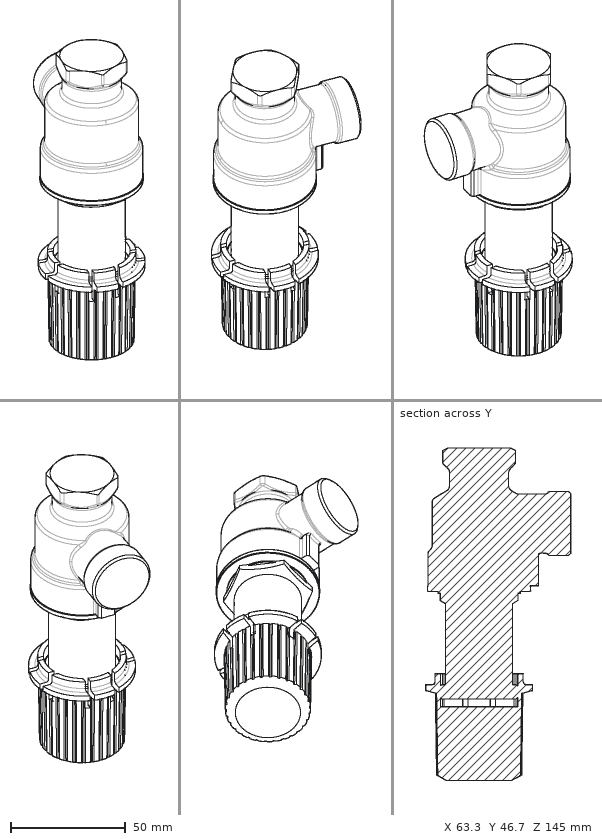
import cadquery as cq
import math


INLET_TOP = 33.0
HEX_HEIGHT = 9.7
NECK_BOTTOM = 15.1
HOUSING_TOP = 10.5
SHOULDER_TOP = -10.4
BASE_TOP = -12.4
RING_TOP = -27.1
HOUSING_BOTTOM = -29.6
WASHER_BOTTOM = -30.4
NUT_BOTTOM = -34.9
COLLAR_TOP = -65.3
FLANGE_TOP = -70.1
FLANGE_EDGE_BOTTOM = -72.8
FLANGE_BOTTOM = -74.0
STEM_BOTTOM = -76.5
SLOT_BOTTOM = -79.7
CAP_SIDE_BOTTOM = -109.5
CAP_BOTTOM = -112.0

HEX_FLATS = 27.8
HEX_CORNER_ROUND = 2.0
HEX_AXIS_CORNER_ROUND = 1.0
HEX_LOWER_ROUND = 1.5
HEX_TOP_DROP = 1.2
NECK_RADIUS = 13.0
NECK_FILLET = 2.0

BODY_RADIUS = 20.5
BASE_RADIUS = 22.4
RING_RADIUS = 22.6
RING_CHAMFER = 0.3
CONE_ROUND = 2.0
SHOULDER_ROUND = 2.0
BASE_ROUND = 2.5

OUTLET_FACE_X = -40.0
OUTLET_END_RADIUS = 14.0
OUTLET_END_LENGTH = 9.2
OUTLET_STEP_ANGLE = 60.0
OUTLET_CHAMFER = 1.0
OUTLET_RADIUS = 13.0
OUTLET_FILLET = 1.5

PAD_FACE_X = -25.9
PAD_WIDTH = 8.5
PAD_CHAMFER = 1.0
PAD_FILLET = 1.0

WASHER_RADIUS = 18.0
NUT_FLATS = 34.0
NUT_CHAMFER_ANGLE = 30.0
STEM_RADIUS = 14.7
STEM_RING_CHAMFER = 0.6

FLANGE_RADIUS = 23.34
COLLAR_RADIUS = 19.3
COLLAR_FILLET = 1.2
CAP_TOP_RADIUS = 19.1
CAP_LOW_RADIUS = 18.6
CAP_END_RADIUS = 14.2
CAP_BORE_RADIUS = 16.8
SLOT_WIDTH = 2.1
SLOT_OFFSET = 6.0
GROOVE_COUNT = 30
GROOVE_WIDTH = 1.7
GROOVE_FLOOR_WIDTH = 0.6
GROOVE_DEPTH = 0.5


def revolve_profile(points):
    """Turn a closed (radius, height) outline around the Z axis."""
    return cq.Workplane("XZ").polyline(points).close().revolve(360, (0, 0, 0), (0, 1, 0))


def cylinder(radius, bottom, top):
    return cq.Workplane("XY").workplane(offset=bottom).circle(radius).extrude(top - bottom)


def hexagon(flats, bottom, top, turn):
    """Hexagonal prism; with no turn its corners lie on the X axis."""
    across_corners = flats / math.cos(math.radians(30))
    prism = cq.Workplane("XY").workplane(offset=bottom).polygon(6, across_corners).extrude(top - bottom)
    return prism.rotate((0, 0, 0), (0, 0, 1), turn)


def round_rim(solid, radius, height, fillet):
    """Round the full circular edge of the given radius and height."""
    margin = 0.01
    reach = radius + margin
    box = cq.selectors.BoxSelector(
        (-reach, -reach, height - margin), (reach, reach, height + margin), boundingbox=True
    )
    rims = [edge for edge in solid.edges(box).vals() if abs(edge.radius() - radius) < margin]
    return solid.newObject(rims).fillet(fillet)


def inlet_hexagon():
    """Inlet hexagon, its flats rounded into a 45 degree cone that leads to the neck."""
    bottom = INLET_TOP - HEX_HEIGHT
    flat_radius = HEX_FLATS / 2
    corner_radius = flat_radius / math.cos(math.radians(30))
    cone_top = bottom + corner_radius - NECK_RADIUS
    envelope = revolve_profile([
        (0, bottom),
        (NECK_RADIUS, bottom),
        (corner_radius, cone_top),
        (corner_radius, INLET_TOP - HEX_TOP_DROP),
        (flat_radius, INLET_TOP),
        (0, INLET_TOP),
    ])
    prism = hexagon(HEX_FLATS, bottom, INLET_TOP, 0)
    prism = prism.edges("|Z").edges(">Y or <Y").fillet(HEX_CORNER_ROUND)
    prism = prism.edges("|Z").edges(">X or <X").fillet(HEX_AXIS_CORNER_ROUND)
    head = prism.intersect(envelope)
    margin = 0.1
    lower_rim = cq.selectors.BoxSelector(
        (-corner_radius, -corner_radius, bottom + margin),
        (corner_radius, corner_radius, cone_top + margin),
        boundingbox=True,
    )
    return head.edges(lower_rim).fillet(HEX_LOWER_ROUND)


def housing():
    flare_bottom = INLET_TOP - HEX_HEIGHT
    flare = HEX_FLATS / 2 - NECK_RADIUS
    body = revolve_profile([
        (0, RING_TOP),
        (BASE_RADIUS, RING_TOP),
        (BASE_RADIUS, BASE_TOP),
        (BODY_RADIUS, SHOULDER_TOP),
        (BODY_RADIUS, HOUSING_TOP),
        (NECK_RADIUS, NECK_BOTTOM),
        (NECK_RADIUS, flare_bottom),
        (NECK_RADIUS + flare, flare_bottom + flare),
        (0, flare_bottom + flare),
    ])
    body = round_rim(body, BASE_RADIUS, BASE_TOP, BASE_ROUND)
    body = round_rim(body, BODY_RADIUS, SHOULDER_TOP, SHOULDER_ROUND)
    body = round_rim(body, BODY_RADIUS, HOUSING_TOP, CONE_ROUND)
    body = round_rim(body, NECK_RADIUS, NECK_BOTTOM, NECK_FILLET)
    return round_rim(body, NECK_RADIUS, flare_bottom, NECK_FILLET)


def base_ring():
    return cylinder(RING_RADIUS, HOUSING_BOTTOM, RING_TOP).faces("<Z or >Z").chamfer(RING_CHAMFER)


def outlet_pipe():
    return cq.Workplane("YZ").circle(OUTLET_RADIUS).extrude(OUTLET_FACE_X)


def outlet_end():
    """Enlarged pipe end that runs down to the pipe through an S of two equal arcs."""
    step = OUTLET_END_RADIUS - OUTLET_RADIUS
    turn = math.radians(OUTLET_STEP_ANGLE)
    arc_radius = step / 2 / (1 - math.cos(turn))
    arc_length = arc_radius * math.sin(turn)
    mid_x = arc_radius * math.sin(turn / 2)
    mid_drop = arc_radius * (1 - math.cos(turn / 2))
    start_x = OUTLET_FACE_X + OUTLET_END_LENGTH
    end_x = start_x + 2 * arc_length
    profile = (
        cq.Workplane("XZ")
        .moveTo(OUTLET_FACE_X, 0)
        .lineTo(OUTLET_FACE_X, OUTLET_END_RADIUS - OUTLET_CHAMFER)
        .lineTo(OUTLET_FACE_X + OUTLET_CHAMFER, OUTLET_END_RADIUS)
        .lineTo(start_x, OUTLET_END_RADIUS)
        .threePointArc(
            (start_x + mid_x, OUTLET_END_RADIUS - mid_drop),
            (start_x + arc_length, OUTLET_END_RADIUS - step / 2),
        )
        .threePointArc((end_x - mid_x, OUTLET_RADIUS + mid_drop), (end_x, OUTLET_RADIUS))
        .lineTo(end_x, 0)
        .close()
    )
    return profile.revolve(360, (0, 0, 0), (1, 0, 0))


def outlet_pad():
    """Flat pad hanging from the outlet pipe, with its sides blended into the housing."""
    footprint = cq.Workplane("XY").workplane(offset=RING_TOP)
    pad = footprint.center(PAD_FACE_X / 2, 0).rect(-PAD_FACE_X, PAD_WIDTH).extrude(-RING_TOP)
    pad = pad.edges("|Z and <X").chamfer(PAD_CHAMFER)
    wall_top = BASE_TOP - BASE_ROUND * math.tan(math.radians(45) / 2)
    joined = pad.union(cylinder(BASE_RADIUS, RING_TOP, wall_top))
    corner_x = -math.sqrt(BASE_RADIUS**2 - (PAD_WIDTH / 2) ** 2)
    margin = 0.1
    corners = cq.selectors.BoxSelector(
        (corner_x - margin, -PAD_WIDTH, RING_TOP - margin),
        (corner_x + margin, PAD_WIDTH, wall_top + margin),
        boundingbox=True,
    )
    return joined.edges(corners).edges("|Z").fillet(PAD_FILLET)


def washer():
    return cylinder(WASHER_RADIUS, WASHER_BOTTOM, HOUSING_BOTTOM)


def lock_nut():
    corner_radius = NUT_FLATS / 2 / math.cos(math.radians(30))
    slope = math.tan(math.radians(NUT_CHAMFER_ANGLE))
    envelope = revolve_profile([
        (0, NUT_BOTTOM),
        (STEM_RADIUS, NUT_BOTTOM),
        (corner_radius, NUT_BOTTOM + (corner_radius - STEM_RADIUS) * slope),
        (corner_radius, HOUSING_BOTTOM),
        (0, HOUSING_BOTTOM),
    ])
    return hexagon(NUT_FLATS, NUT_BOTTOM, HOUSING_BOTTOM, 30).intersect(envelope)


def stem():
    """Plain stem whose lower end widens into a ring that fills the cap bore."""
    tube = cylinder(STEM_RADIUS, STEM_BOTTOM, HOUSING_BOTTOM)
    ring = cylinder(CAP_BORE_RADIUS, STEM_BOTTOM, FLANGE_TOP).faces("<Z or >Z").chamfer(STEM_RING_CHAMFER)
    return tube.union(ring)


def groove_section(crest_radius, height):
    """Wire across one groove, level with the point where the cap side has this radius."""
    floor_radius = crest_radius - GROOVE_DEPTH
    side_slope = (GROOVE_WIDTH - GROOVE_FLOOR_WIDTH) / 2 / GROOVE_DEPTH
    outer_radius = crest_radius + GROOVE_DEPTH
    half_floor = GROOVE_FLOOR_WIDTH / 2
    half_outer = half_floor + side_slope * (outer_radius - floor_radius)
    corners = [
        (floor_radius, -half_floor),
        (outer_radius, -half_outer),
        (outer_radius, half_outer),
        (floor_radius, half_floor),
    ]
    return cq.Wire.makePolygon([cq.Vector(x, y, height) for x, y in corners], close=True)


def cap_grooves():
    """Lengthwise grooves of trapezoid section that follow the taper of the cap."""
    taper = (CAP_TOP_RADIUS - CAP_LOW_RADIUS) / (FLANGE_BOTTOM - CAP_SIDE_BOTTOM)
    end_radius = CAP_LOW_RADIUS - taper * (CAP_SIDE_BOTTOM - CAP_BOTTOM)
    cutter = cq.Solid.makeLoft(
        [groove_section(CAP_TOP_RADIUS, FLANGE_BOTTOM), groove_section(end_radius, CAP_BOTTOM)],
        True,
    )
    pitch = 360 / GROOVE_COUNT
    grooves = cq.Workplane("XY")
    for index in range(GROOVE_COUNT):
        grooves = grooves.add(cutter.rotate(cq.Vector(0, 0, 0), cq.Vector(0, 0, 1), index * pitch))
    return grooves.combine()


def cap_slots():
    """Four straight slots, two along X and two along Y, open at the collar."""
    depth = COLLAR_TOP - SLOT_BOTTOM
    length = 2 * FLANGE_RADIUS + SLOT_WIDTH
    plane = cq.Workplane("XY").workplane(offset=SLOT_BOTTOM)
    offsets = (-SLOT_OFFSET, SLOT_OFFSET)
    across_x = plane.pushPoints([(0, y) for y in offsets]).rect(length, SLOT_WIDTH).extrude(depth)
    across_y = plane.pushPoints([(x, 0) for x in offsets]).rect(SLOT_WIDTH, length).extrude(depth)
    return across_x.union(across_y)


def cap():
    shell = revolve_profile([
        (0, CAP_BOTTOM),
        (CAP_END_RADIUS, CAP_BOTTOM),
        (CAP_LOW_RADIUS, CAP_SIDE_BOTTOM),
        (CAP_TOP_RADIUS, FLANGE_BOTTOM),
        (FLANGE_RADIUS, FLANGE_EDGE_BOTTOM),
        (FLANGE_RADIUS, FLANGE_TOP),
        (COLLAR_RADIUS, FLANGE_TOP),
        (COLLAR_RADIUS, COLLAR_TOP),
        (0, COLLAR_TOP),
    ])
    shell = round_rim(shell, COLLAR_RADIUS, FLANGE_TOP, COLLAR_FILLET)
    bore = cylinder(CAP_BORE_RADIUS, SLOT_BOTTOM, COLLAR_TOP)
    return shell.cut(bore).cut(cap_grooves()).cut(cap_slots())


def blend_outlet(solid):
    """Round the inner corner where the outlet pipe runs into the housing."""
    reach = OUTLET_RADIUS + OUTLET_FILLET
    pipe_space = cq.selectors.BoxSelector(
        (OUTLET_FACE_X - OUTLET_FILLET, -reach, -reach), (0, reach, reach), boundingbox=True
    )
    joint_space = cq.selectors.BoxSelector(
        (-BASE_RADIUS, -reach, -reach), (0, reach, reach), boundingbox=True
    )
    return solid.faces(pipe_space).edges(joint_space).fillet(OUTLET_FILLET)


def blend_pad_top(solid):
    """Round the inner corner between the pad front and the outlet pipe above it."""
    half_width = PAD_WIDTH / 2
    margin = 0.1
    joint_space = cq.selectors.BoxSelector(
        (PAD_FACE_X - margin, -half_width - margin, -OUTLET_RADIUS - margin),
        (PAD_FACE_X + PAD_CHAMFER + margin, half_width + margin, 0),
        boundingbox=True,
    )
    return solid.edges(joint_space).fillet(PAD_FILLET)


valve_body = blend_outlet(housing().union(outlet_pipe()))
valve_body = blend_pad_top(valve_body.union(outlet_pad()))
valve_body = valve_body.union(outlet_end()).union(inlet_hexagon()).union(base_ring())
result = valve_body.union(lock_nut()).union(washer()).union(stem()).union(cap())